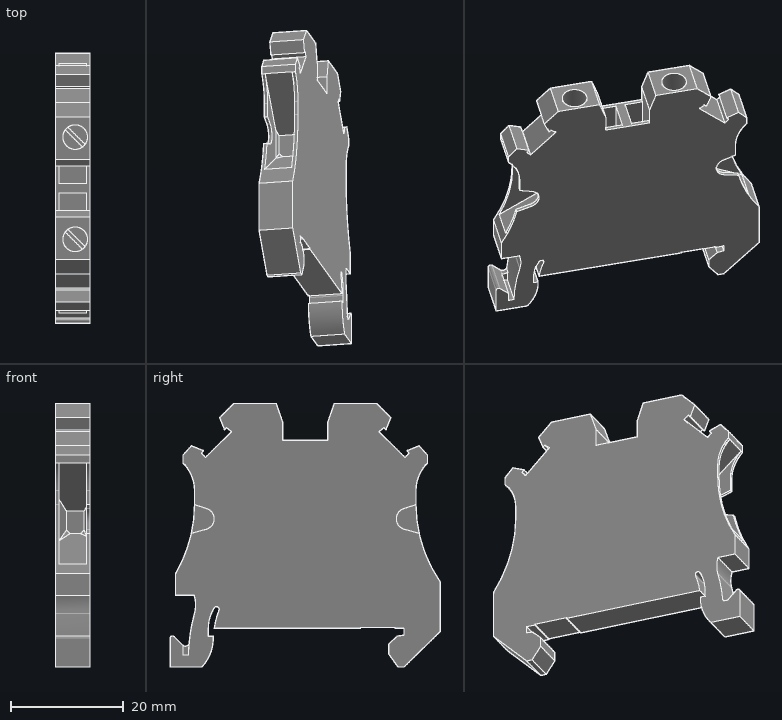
import cadquery as cq
import math

thickness = 6.15
half_length = 24.0
height = 46.85

base_z = 6.85
ledge_z = 12.7
channel_floor_z = 40.3
channel_half_width = 4.0
side_y = 19.7
shoulder_y = 23.05
side_curve_radius = 24.15
side_curve_top_z = 28.9
fixed_foot_y = 17.5

spring_root_y = 16.2
spring_arm_y = 17.2
hook_inner_y = -21.75
hook_root_z = 3.9
release_floor_z = 2.15
release_web_thickness = 0.95

relief_start_y = 9.8
relief_end_y = 15.95
relief_depth = 0.15

cavity_half_width = 2.45
window_inner_y = 0.84
window_depth = 9.6
screw_x = 0.45
screw_y = 9.05
screw_diameter = 4.35
screw_recess_depth = 4.8
driver_slot_width = 0.65
driver_slot_depth = 0.65

mouth_y = 26.4
funnel_back_y = 12.2
mouth_bottom_y = 22.15
mouth_bottom_z = 18.3
mouth_top_y = 21.55
mouth_top_z = 36.1
back_bottom_z = 23.7
back_top_z = 27.7
left_taper_y = 14.55
left_back_x = -1.1
right_taper_y = 13.05
right_back_x = 2.0
corner_facet = 0.6


def extrude_through(outline):
    """Extrude a closed YZ outline over the whole thickness."""
    return outline.extrude(thickness / 2, both=True)


def both_ends(shape):
    """Join a shape with its mirror image at the other Y end."""
    return shape.union(shape.mirror("XZ"))


def side_curve_point(y):
    """Point on the lower concave side curve at the given distance from the middle."""
    from_centre = side_y + side_curve_radius - y
    return y, side_curve_top_z - math.sqrt(side_curve_radius**2 - from_centre**2)


def housing():
    half = (
        cq.Workplane("YZ")
        .moveTo(0, base_z)
        .lineTo(0, channel_floor_z)
        .lineTo(channel_half_width, channel_floor_z)
        .lineTo(channel_half_width, 43.5)
        .lineTo(5.15, height)
        .lineTo(12.65, height)
        .lineTo(15.2, 44.3)
        .lineTo(14.35, 42.15)
        .lineTo(13.95, 42.5)
        .lineTo(13.1, 41.8)
        .lineTo(17.7, 37.25)
        .lineTo(18.4, 37.95)
        .lineTo(18.05, 38.45)
        .lineTo(20.2, 39.3)
        .lineTo(21.75, 37.65)
        .lineTo(21.75, 36.25)
        .threePointArc((20.2, 34.0), (side_y, 31.4))
        .lineTo(side_y, side_curve_top_z)
        .threePointArc(side_curve_point((side_y + shoulder_y) / 2), side_curve_point(shoulder_y))
        .lineTo(shoulder_y, ledge_z)
        .lineTo(spring_root_y, ledge_z)
        .lineTo(spring_root_y, base_z)
        .close()
    )
    return both_ends(extrude_through(half))


def fixed_foot():
    outline = (
        cq.Workplane("YZ")
        .moveTo(relief_end_y, ledge_z)
        .lineTo(*side_curve_point(shoulder_y))
        .threePointArc(side_curve_point((shoulder_y + half_length) / 2), side_curve_point(half_length))
        .lineTo(half_length, 6.35)
        .lineTo(fixed_foot_y, 0)
        .lineTo(16.45, 0)
        .lineTo(14.8, 2.35)
        .lineTo(14.8, 4.1)
        .lineTo(16.3, 5.5)
        .lineTo(fixed_foot_y, 5.7)
        .lineTo(fixed_foot_y, base_z)
        .lineTo(relief_end_y, base_z)
        .close()
    )
    return extrude_through(outline)


def spring_foot():
    outline = (
        cq.Workplane("YZ")
        .moveTo(-15.85, ledge_z)
        .lineTo(-19.75, ledge_z)
        .threePointArc((-19.5, 11.15), (-19.7, 9.55))
        .threePointArc((-20.25, 7.05), (-20.75, release_floor_z))
        .lineTo(hook_inner_y, release_floor_z)
        .lineTo(hook_inner_y, hook_root_z)
        .lineTo(-23.35, 5.45)
        .threePointArc((-23.75, 5.5), (-half_length, 5.2))
        .lineTo(-half_length, 0)
        .lineTo(-18.35, 0)
        .threePointArc((-16.85, 2.35), (-16.3, 5.5))
        .lineTo(-spring_arm_y, 5.5)
        .lineTo(-spring_arm_y, base_z)
        .lineTo(-15.85, base_z)
        .close()
    )
    return extrude_through(outline)


def release_web():
    """Web that joins arm and release hook on the -X side, with a rounded top."""
    return (
        cq.Workplane("YZ", origin=(-thickness / 2, 0, 0))
        .moveTo(-20.5, 4.4)
        .threePointArc((-21.0, 3.8), (hook_inner_y, hook_root_z))
        .lineTo(hook_inner_y, release_floor_z)
        .lineTo(-20.5, release_floor_z)
        .close()
        .extrude(release_web_thickness)
    )


def spring_slot():
    outline = (
        cq.Workplane("YZ")
        .moveTo(-spring_root_y, base_z)
        .threePointArc((-15.85, 8.55), (-15.3, 10.2))
        .threePointArc((-15.65, 10.7), (-16.2, 10.35))
        .threePointArc((-16.95, 8.7), (-spring_arm_y, base_z))
        .close()
    )
    return extrude_through(outline)


def underside_relief():
    return cq.Workplane("XY").box(
        thickness, relief_end_y - relief_start_y, relief_depth, centered=(True, False, False)
    ).translate((0, relief_start_y, base_z))


def channel_window():
    return cq.Workplane("XY").box(
        2 * cavity_half_width, channel_half_width - window_inner_y, window_depth,
        centered=(True, False, False),
    ).translate((0, window_inner_y, channel_floor_z - window_depth))


def screw_recess(y):
    """Round recess down to the screw head, with the driver slot in the head."""
    head_z = height - screw_recess_depth
    recess = cq.Workplane("XY").circle(screw_diameter / 2).extrude(screw_recess_depth)
    slotted_layer = cq.Workplane("XY").circle(screw_diameter / 2).extrude(-driver_slot_depth)
    slot = (
        cq.Workplane("XY")
        .rect(screw_diameter, driver_slot_width)
        .extrude(-driver_slot_depth)
        .intersect(slotted_layer)
        .rotate((0, 0, 0), (0, 0, 1), -45)
    )
    return recess.union(slot).translate((screw_x, y, head_z))


def tetrahedron(a, b, c, d):
    faces = [
        cq.Face.makeFromWires(cq.Wire.makePolygon([cq.Vector(*p) for p in triangle], close=True))
        for triangle in ((a, b, c), (a, b, d), (a, c, d), (b, c, d))
    ]
    return cq.Workplane(obj=cq.Solid.makeSolid(cq.Shell.makeShell(faces)))


def wire_funnel():
    floor_slope = (back_bottom_z - mouth_bottom_z) / (mouth_bottom_y - funnel_back_y)
    roof_slope = (mouth_top_z - back_top_z) / (mouth_top_y - funnel_back_y)

    def floor_z(y):
        return back_bottom_z - floor_slope * (y - funnel_back_y)

    def roof_z(y):
        return back_top_z + roof_slope * (y - funnel_back_y)

    side_profile = extrude_through(cq.Workplane("YZ").polyline([
        (funnel_back_y, back_bottom_z),
        (funnel_back_y, back_top_z),
        (mouth_y, roof_z(mouth_y)),
        (mouth_y, floor_z(mouth_y)),
    ]).close())
    plan = cq.Workplane("XY").polyline([
        (-cavity_half_width, mouth_y),
        (-cavity_half_width, left_taper_y),
        (left_back_x, funnel_back_y),
        (right_back_x, funnel_back_y),
        (cavity_half_width, right_taper_y),
        (cavity_half_width, mouth_y),
    ]).close().extrude(height)
    funnel = side_profile.intersect(plan)

    for back_x, side_x, taper_y, inward in (
        (left_back_x, -cavity_half_width, left_taper_y, 1),
        (right_back_x, cavity_half_width, right_taper_y, -1),
    ):
        funnel = funnel.cut(tetrahedron(
            (back_x, funnel_back_y, back_bottom_z),
            (back_x, funnel_back_y, back_bottom_z + corner_facet),
            (back_x + inward * corner_facet, funnel_back_y, back_bottom_z),
            (side_x, taper_y, floor_z(taper_y)),
        ))
    return funnel


def wall_notch():
    """Flared notch with a round inner end through the +X wall of the funnel."""
    return (
        cq.Workplane("YZ", origin=(cavity_half_width, 0, 0))
        .moveTo(mouth_y, 31.0)
        .lineTo(17.55, 28.2)
        .threePointArc((16.2, 26.2), (17.55, 24.5))
        .lineTo(mouth_y, 22.1)
        .close()
        .extrude(thickness / 2 - cavity_half_width)
    )


result = housing().union(fixed_foot()).union(spring_foot()).union(release_web())
for cavity in (spring_slot(), underside_relief()):
    result = result.cut(cavity)
for cavity in (channel_window(), wire_funnel(), wall_notch()):
    result = result.cut(both_ends(cavity))
for y in (-screw_y, screw_y):
    result = result.cut(screw_recess(y))